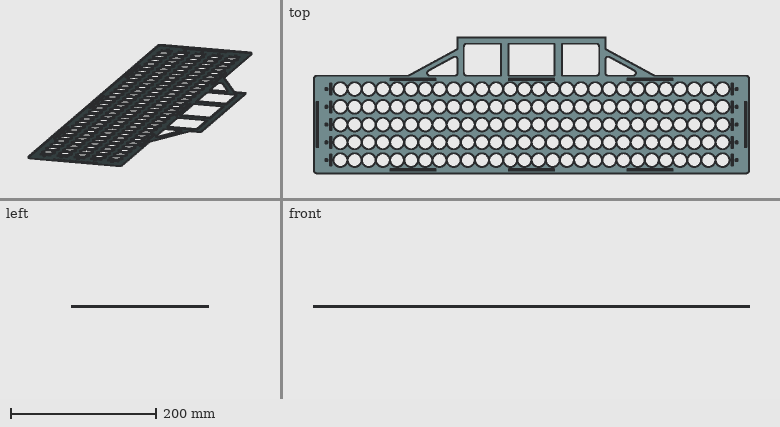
import cadquery as cq
import math

length = 600
plate_width = 135.0
thickness = 1.6
corner_radius = 5.0
mid_y = plate_width / 2

hole_diameter = 18.5
hole_columns = 28
hole_rows = 5
column_web = 0.9
row_web = 5.9
column_pitch = hole_diameter + column_web
row_pitch = hole_diameter + row_web

edge_slot_length = 62.5
edge_slot_width = 2.0
edge_slot_inset = 5.1
edge_slot_pitch = 163.0

row_slot_length = 15.0
row_slot_width = 2.0
row_slot_x = 276.5
pin_hole_diameter = 3.1
pin_hole_x = 282.5

frame_top = 188.0
frame_width = 204
frame_wall = 9.0
window_top = frame_top - frame_wall
middle_window_width = 63.0
window_post = 11.0
window_radius = 3.5

brace_angle = 28.5
brace_top = 171.5
brace_thickness = 7.0
brace_corner_radius = 3.5


def box(x_min, x_max, y_min, y_max):
    """Plate-thick block between the given X and Y limits."""
    return (
        cq.Workplane("XY")
        .center((x_min + x_max) / 2, (y_min + y_max) / 2)
        .rect(x_max - x_min, y_max - y_min)
        .extrude(thickness)
    )


def triangle(outer_x, inner_x, base_y, tip_y):
    """Right triangle with its upright side at inner_x."""
    return (
        cq.Workplane("XY")
        .polyline([(outer_x, base_y), (inner_x, base_y), (inner_x, tip_y)])
        .close()
        .extrude(thickness)
    )


def mirrored(shape):
    """The shape together with its mirror image across X = 0."""
    return shape.union(shape.mirror("YZ"))


def make_blank():
    """Rounded plate with the frame and its two braces."""
    plate = box(-length / 2, length / 2, 0, plate_width).edges("|Z").fillet(corner_radius)
    frame = box(-frame_width / 2, frame_width / 2, mid_y, frame_top)
    brace_run = (brace_top - plate_width) / math.tan(math.radians(brace_angle))
    brace = triangle(frame_width / 2 + brace_run, frame_width / 2, plate_width, brace_top)
    return plate.union(frame).union(mirrored(brace))


def make_frame_openings():
    """Three windows in the frame, rounded only at its outer ends, and a rounded triangle in each brace."""
    middle_edge = middle_window_width / 2
    middle = box(-middle_edge, middle_edge, plate_width, window_top)
    side = box(middle_edge + window_post, frame_width / 2 - frame_wall, plate_width, window_top)
    side = side.edges("|Z and >X").fillet(window_radius)

    slope = math.radians(brace_angle)
    opening_height = brace_top - plate_width - brace_thickness / math.cos(slope)
    opening_run = opening_height / math.tan(slope)
    inner_x = frame_width / 2
    opening = triangle(inner_x + opening_run, inner_x, plate_width, plate_width + opening_height)
    opening = opening.edges("|Z").fillet(brace_corner_radius)
    return middle.union(mirrored(side)).union(mirrored(opening))


def cut_edge_slots(body):
    for y in (edge_slot_inset, plate_width - edge_slot_inset):
        centres = [(i * edge_slot_pitch, y) for i in (-1, 0, 1)]
        slots = cq.Workplane("XY").pushPoints(centres).rect(edge_slot_length, edge_slot_width)
        body = body.cut(slots.extrude(thickness))
    end_x = length / 2 - edge_slot_inset
    ends = cq.Workplane("XY").pushPoints([(-end_x, mid_y), (end_x, mid_y)])
    return body.cut(ends.rect(edge_slot_width, edge_slot_length).extrude(thickness))


def row_grid(pitch_x, columns):
    """Workplane with one point per column in every hole row."""
    return cq.Workplane("XY").center(0, mid_y).rarray(pitch_x, row_pitch, columns, hole_rows)


def cut_hole_rows(body):
    """Main hole grid, then the row slots and pin holes at both ends."""
    holes = row_grid(column_pitch, hole_columns).circle(hole_diameter / 2)
    slots = row_grid(2 * row_slot_x, 2).rect(row_slot_width, row_slot_length)
    pins = row_grid(2 * pin_hole_x, 2).circle(pin_hole_diameter / 2)
    for outlines in (holes, slots, pins):
        body = body.cut(outlines.extrude(thickness))
    return body


body = make_blank().cut(make_frame_openings())
body = cut_edge_slots(body)
result = cut_hole_rows(body)